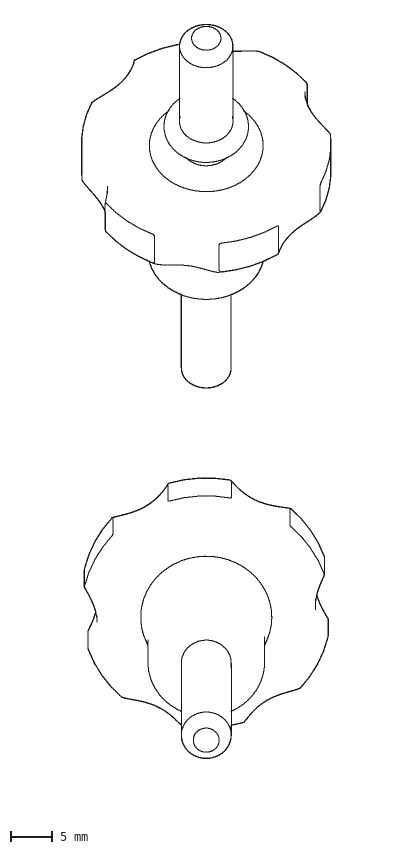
import cadquery as cq
import math

ROD_BOTTOM = -34.5
HUB_BOTTOM = -9.5
TAPER_BOTTOM = -0.9
KNOB_BOTTOM = 5.5
HUB_TOP = 10.6
KNOB_TOP = 14.5
RING_BOTTOM = 15.4
RING_TOP = 17.5
ROD_TOP = 34.5

ROD_RADIUS = 6.0 / 2
ROD_HEAD_RADIUS = 6.4 / 2
ROD_END_BEVEL_WIDTH = 1.45
ROD_END_BEVEL_HEIGHT = 1.6

RING_RIM_RADIUS = (RING_TOP - RING_BOTTOM) / 2
RING_FLAT_RADIUS = 4.0

KNOB_RADIUS = 15.0
CROWN_PEAK_RADIUS = 12.1
CROWN_DROP = 1.4
BELLY_FLAT_RADIUS = CROWN_PEAK_RADIUS
BELLY_RISE = 1.7
SCALLOP_COUNT = 6
SCALLOP_RADIUS = 6.5
SCALLOP_FLOOR = 13.1
SCALLOP_EDGE_FILLET = 0.35

LIP_OUTER_RADIUS = 11.4
LIP_INNER_RADIUS = 11.0
LIP_BEVEL_DROP = 0.15
DISH_FLOOR_RADIUS = 6.8
DISH_DEPTH = 1.9

HUB_RADIUS = 14.0 / 2
TAPER_RADIUS_AT_KNOB = 7.9
TAPER_SLOPE = (TAPER_RADIUS_AT_KNOB - HUB_RADIUS) / (KNOB_BOTTOM - TAPER_BOTTOM)
HUB_TOP_RADIUS = HUB_RADIUS + TAPER_SLOPE * (HUB_TOP - TAPER_BOTTOM)
HUB_EDGE_FILLET = 0.4


def revolve_about_z(profile):
    """Turn a closed profile, drawn as radius and height, into a solid of revolution."""
    return profile.revolve(360, (0, 0, 0), (0, 1, 0))


def make_rod():
    """The long rod, bevelled at both ends, with a thicker head that starts on top of the ring."""
    profile = cq.Workplane("XZ").polyline([
        (0, ROD_BOTTOM),
        (ROD_RADIUS - ROD_END_BEVEL_WIDTH, ROD_BOTTOM),
        (ROD_RADIUS, ROD_BOTTOM + ROD_END_BEVEL_HEIGHT),
        (ROD_RADIUS, RING_TOP),
        (ROD_HEAD_RADIUS, RING_TOP),
        (ROD_HEAD_RADIUS, ROD_TOP - ROD_END_BEVEL_HEIGHT),
        (ROD_HEAD_RADIUS - ROD_END_BEVEL_WIDTH, ROD_TOP),
        (0, ROD_TOP),
    ]).close()
    return revolve_about_z(profile)


def make_ring():
    """The ring on the rod, flat inside and half-round at its rim."""
    middle = (RING_BOTTOM + RING_TOP) / 2
    rim = (RING_FLAT_RADIUS + RING_RIM_RADIUS, middle)
    profile = (
        cq.Workplane("XZ")
        .moveTo(ROD_RADIUS, RING_BOTTOM)
        .lineTo(RING_FLAT_RADIUS, RING_BOTTOM)
        .threePointArc(rim, (RING_FLAT_RADIUS, RING_TOP))
        .lineTo(ROD_RADIUS, RING_TOP)
        .close()
    )
    return revolve_about_z(profile)


def make_hub():
    """The hub: a cylinder that widens into a taper reaching up into the knob."""
    profile = cq.Workplane("XZ").polyline([
        (ROD_RADIUS, HUB_BOTTOM),
        (HUB_RADIUS, HUB_BOTTOM),
        (HUB_RADIUS, TAPER_BOTTOM),
        (HUB_TOP_RADIUS, HUB_TOP),
        (ROD_RADIUS, HUB_TOP),
    ]).close()
    outer_edge = cq.selectors.RadiusNthSelector(-1)
    return revolve_about_z(profile).faces("<Z").edges(outer_edge).fillet(HUB_EDGE_FILLET)


def shoulder_radius(run, rise):
    """Radius of an arc that starts level and covers the given run and rise."""
    return (run**2 + rise**2) / (2 * rise)


def belly_middle():
    """Middle point of the arc that joins the flat underside to the side of the knob."""
    run = KNOB_RADIUS - BELLY_FLAT_RADIUS
    arc_radius = shoulder_radius(run, BELLY_RISE)
    half_sweep = math.atan2(BELLY_RISE, run)
    return (
        BELLY_FLAT_RADIUS + arc_radius * math.sin(half_sweep),
        KNOB_BOTTOM + arc_radius * (1 - math.cos(half_sweep)),
    )


def make_knob_blank():
    """The round knob before the scallops: rounded shoulders, a dish on top, a socket below."""
    crown_arc_radius = shoulder_radius(KNOB_RADIUS - CROWN_PEAK_RADIUS, CROWN_DROP)
    lip_run = CROWN_PEAK_RADIUS - LIP_OUTER_RADIUS
    lip_level = KNOB_TOP - crown_arc_radius + math.sqrt(crown_arc_radius**2 - lip_run**2)
    dish_floor = KNOB_TOP - DISH_DEPTH
    profile = (
        cq.Workplane("XZ")
        .moveTo(ROD_RADIUS, HUB_TOP)
        .lineTo(HUB_TOP_RADIUS, HUB_TOP)
        .lineTo(TAPER_RADIUS_AT_KNOB, KNOB_BOTTOM)
        .lineTo(BELLY_FLAT_RADIUS, KNOB_BOTTOM)
        .threePointArc(belly_middle(), (KNOB_RADIUS, KNOB_BOTTOM + BELLY_RISE))
        .lineTo(KNOB_RADIUS, KNOB_TOP - CROWN_DROP)
        .threePointArc((CROWN_PEAK_RADIUS, KNOB_TOP), (LIP_OUTER_RADIUS, lip_level))
        .lineTo(LIP_INNER_RADIUS, lip_level - LIP_BEVEL_DROP)
        .lineTo(DISH_FLOOR_RADIUS, dish_floor)
        .lineTo(ROD_RADIUS, dish_floor)
        .close()
    )
    return revolve_about_z(profile)


def make_knob():
    """The star knob: scallops around its rim, with the curved edges they leave rounded."""
    cutters = (
        cq.Workplane("XY")
        .workplane(offset=KNOB_BOTTOM)
        .polarArray(SCALLOP_FLOOR + SCALLOP_RADIUS, 0, 360, SCALLOP_COUNT)
        .circle(SCALLOP_RADIUS)
        .extrude(KNOB_TOP - KNOB_BOTTOM)
    )
    knob = make_knob_blank().cut(cutters)
    return knob.edges("%BSPLINE").fillet(SCALLOP_EDGE_FILLET)


rod = make_rod()
ring = make_ring()
hub = make_hub()
knob = make_knob()
result = cq.Compound.makeCompound([rod.val(), ring.val(), hub.val(), knob.val()])